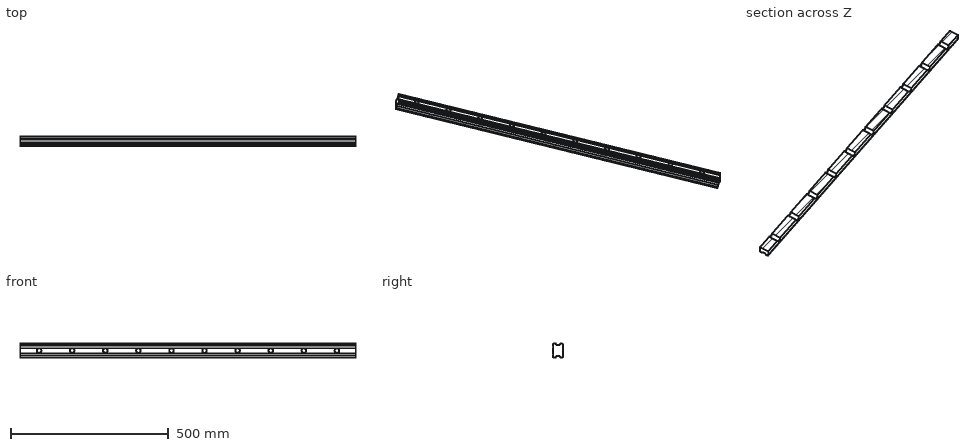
import cadquery as cq
import math

length = 1065.0
height = 32.0
width = 45.0

head_corner_radius = 4.5
ridge_end_y = 9.5
bevel_length = 3.3
bevel_angle = 35.0

neck_width = 36.0
base_thickness = 8.2
base_lip = 0.6
base_chamfer = 2.0

relief_outer_width = 30.0
relief_inner_width = 16.0
relief_depth = 0.5

hole_diameter = 14.0
hole_pitch = 105.0
hole_count = 10

half_width = width / 2
half_height = height / 2
neck_half_width = neck_width / 2
first_hole_x = (length - (hole_count - 1) * hole_pitch) / 2


def upper_outline():
    """Corners of the +Z half of the cross-section as (y, z), from the head to the mounting face."""
    bevel_end_y = ridge_end_y - bevel_length
    bevel_end_z = half_width - bevel_length * math.tan(math.radians(bevel_angle))
    base_inner_y = base_thickness - half_height
    lip_root_z = half_width - base_lip
    neck_head_y = bevel_end_y - (bevel_end_z - neck_half_width)
    neck_base_y = base_inner_y + (lip_root_z - neck_half_width)
    return [
        (half_height, half_width),
        (ridge_end_y, half_width),
        (bevel_end_y, bevel_end_z),
        (neck_head_y, neck_half_width),
        (neck_base_y, neck_half_width),
        (base_inner_y, lip_root_z),
        (base_inner_y, half_width),
        (base_chamfer - half_height, half_width),
        (-half_height, half_width - base_chamfer),
    ]


def rail_blank():
    """The mirrored cross-section extruded along X, with both outer head corners rounded."""
    upper = upper_outline()
    lower = [(y, -z) for y, z in reversed(upper)]
    blank = cq.Workplane("YZ").polyline(upper + lower).close().extrude(length)
    for side in (1, -1):
        corner_place = (length / 2, half_height, side * half_width)
        corner = cq.selectors.NearestToPointSelector(corner_place)
        blank = blank.edges(corner).fillet(head_corner_radius)
    return blank


def cut_reliefs(rail):
    """Cut the two full-length grooves either side of the hole line in the mounting face."""
    groove_width = (relief_outer_width - relief_inner_width) / 2
    groove_z = (relief_outer_width - groove_width) / 2
    for side in (1, -1):
        section = cq.Workplane("YZ").center(relief_depth / 2 - half_height, side * groove_z)
        groove = section.rect(relief_depth, groove_width).extrude(length)
        rail = rail.cut(groove)
    return rail


def cut_holes(rail):
    """Cut the row of plain holes through the full height of the rail."""
    for i in range(hole_count):
        plane = cq.Workplane("XZ", origin=(first_hole_x + i * hole_pitch, half_height, 0))
        hole = plane.circle(hole_diameter / 2).extrude(height)
        rail = rail.cut(hole)
    return rail


result = cut_holes(cut_reliefs(rail_blank()))